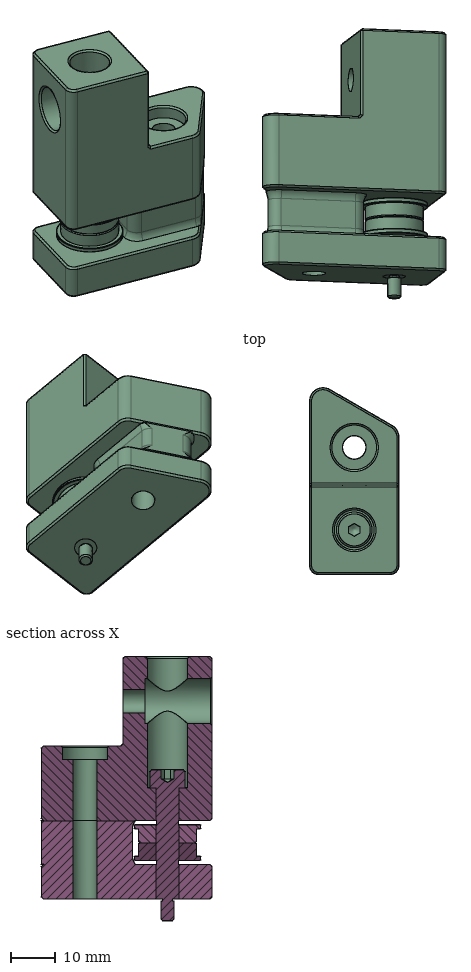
import cadquery as cq
import math


width = 20.0
half_width = width / 2
front_y = -half_width
back_y = 31.85
rear_slope = math.radians(30)
front_radius = 2.0
rear_radius = 3.0
edge_chamfer = 0.45

bearing_bore = 5.0
bearing_outer = 13
bearing_width = 4.0
bearing_chamfer = 0.25
bearing_count = 2
bearing_clearance = 0.9
flange_outer = 15.0
flange_thickness = 1.0
flange_chamfer = 0.15

base_top = 7.75
stack_bottom = base_top + bearing_clearance
stack_top = stack_bottom + bearing_count * bearing_width
block_bottom = stack_top + bearing_clearance
step_top = block_bottom + 16.75
tower_top = step_top + width
tower_back_y = front_y + width

pillar_width = 11.0
pillar_front_y = 7.8
pillar_radius = 2.4
flare_radius = 2.8
flare_height = 1.85

bolt_hole = 5.2
bolt_counterbore = 10.0
bolt_y = front_y + 28.5
bolt_head_depth = 3.0
cross_bolt_z = tower_top - half_width
cross_bolt_seat = 5.0
screw_counterbore = 8.95
hole_chamfer = 0.4

shoulder_length = 25.0
head_outer = 8.0
head_height = 4.0
head_chamfer = 0.4
thread_outer = 3.0
thread_end_z = -4.85
neck_outer = 2.3
neck_length = 0.4
socket_across_flats = 2.5
socket_depth = 2.0
socket_point_angle = math.radians(120)

margin = 0.6
tolerance = 0.05


def rear_wall_y(x):
    """Y of the slanted rear wall at the given X."""
    tip_corner_angle = math.pi / 2 - rear_slope
    sharp_tip_y = back_y + rear_radius * (1 / math.tan(tip_corner_angle / 2) - 1)
    return sharp_tip_y - (x + half_width) * math.tan(rear_slope)


def slant_prism(half_x, near_y, near_radius, far_radius, bottom, top):
    """Upright prism with a slanted rear wall and rounded vertical edges."""
    prism = (
        cq.Workplane("XY", origin=(0, 0, bottom))
        .moveTo(-half_x, near_y)
        .lineTo(half_x, near_y)
        .lineTo(half_x, rear_wall_y(half_x))
        .lineTo(-half_x, rear_wall_y(-half_x))
        .close()
        .extrude(top - bottom)
    )
    prism = prism.faces("<Y").edges("|Z").fillet(near_radius)
    rear_wall_direction = cq.Vector(math.sin(rear_slope), math.cos(rear_slope), 0)
    rear_wall = cq.selectors.DirectionMinMaxSelector(rear_wall_direction)
    return prism.faces(rear_wall).edges("|Z").fillet(far_radius)


def housing_prism(bottom, top):
    """Full housing outline between two heights."""
    return slant_prism(half_width, front_y, front_radius, rear_radius, bottom, top)


def upright_bore(diameter, bottom, top, y=0):
    """Cutter for a plain vertical hole."""
    return cq.Workplane("XY", origin=(0, y, bottom)).circle(diameter / 2).extrude(top - bottom)


def counterbore(mouth, diameter, depth):
    """Cutter for a blind bore with a chamfered mouth on the given outward-facing plane."""
    radius = diameter / 2
    bore = cq.Workplane(mouth).circle(radius).extrude(-depth)
    rim = cq.Workplane(mouth).circle(radius + hole_chamfer).extrude(-hole_chamfer, taper=45)
    return bore.union(rim)


def make_pillar():
    """Pillar that flares at both ends along arcs which stop short of a full quarter round."""
    sunk = flare_radius - flare_height
    low = base_top - sunk
    high = block_bottom + sunk
    pillar = slant_prism(pillar_width / 2, pillar_front_y, pillar_radius, pillar_radius, low, high)
    for outer_z, inner_z in ((low - margin, low), (high + margin, high)):
        plate_center = (0, 0, (outer_z + inner_z) / 2)
        plate = cq.Workplane("XY", origin=plate_center).box(4 * width, 4 * back_y, margin)
        pillar = pillar.union(plate)
        joint = cq.selectors.BoxSelector(
            (-width, 0, inner_z - tolerance),
            (width, 1.5 * back_y, inner_z + tolerance),
            boundingbox=True,
        )
        pillar = pillar.edges(joint).fillet(flare_radius)
    return pillar.intersect(housing_prism(base_top, block_bottom))


def make_base():
    base = housing_prism(0, base_top).edges("<Z or >Z").chamfer(edge_chamfer)
    base = base.union(make_pillar())
    base = base.cut(upright_bore(bearing_bore, 0, base_top))
    return base.cut(upright_bore(bolt_hole, 0, block_bottom, bolt_y))


def make_stepped_block():
    """L-shaped block whose rims, and the inner corner of the step, are chamfered."""
    step_space = (
        cq.Workplane("YZ", origin=(-width, 0, 0))
        .moveTo(tower_back_y, tower_top + margin)
        .lineTo(tower_back_y, step_top + edge_chamfer)
        .lineTo(tower_back_y + edge_chamfer, step_top)
        .lineTo(back_y + margin, step_top)
        .lineTo(back_y + margin, tower_top + margin)
        .close()
        .extrude(2 * width)
    )
    block = housing_prism(block_bottom, tower_top).cut(step_space)

    step_edges = cq.selectors.BoxSelector(
        (-width, tower_back_y - tolerance, step_top - tolerance),
        (width, back_y + margin, tower_top + margin),
    )
    inner_corner_edges = cq.selectors.BoxSelector(
        (-margin, tower_back_y - tolerance, step_top - tolerance),
        (margin, tower_back_y + edge_chamfer + tolerance, step_top + edge_chamfer + tolerance),
    )
    end_edges = cq.selectors.StringSyntaxSelector("<Z or >Z")
    rims = (step_edges - inner_corner_edges) + end_edges
    return block.edges(rims).chamfer(edge_chamfer)


def make_block():
    block = make_stepped_block()

    tower_mouth = cq.Plane((0, 0, tower_top))
    block = block.cut(upright_bore(bearing_bore, block_bottom, shoulder_length))
    block = block.cut(counterbore(tower_mouth, screw_counterbore, tower_top - shoulder_length))

    step_mouth = cq.Plane((0, bolt_y, step_top))
    block = block.cut(upright_bore(bolt_hole, block_bottom, step_top, bolt_y))
    block = block.cut(counterbore(step_mouth, bolt_counterbore, bolt_head_depth))

    front_mouth = cq.Plane((0, front_y, cross_bolt_z), xDir=(1, 0, 0), normal=(0, -1, 0))
    block = block.cut(cq.Workplane(front_mouth).circle(bolt_hole / 2).extrude(-width))
    return block.cut(counterbore(front_mouth, bolt_counterbore, width - cross_bolt_seat))


def turned(profile):
    """Solid of revolution about Z from (radius, height) points."""
    return cq.Workplane("XZ").polyline(profile).close().revolve(360, (0, 0, 0), (0, 1, 0))


def make_bearing(flange_face_z, direction):
    """Bearing whose flange face is at the given Z; its body lies up (+1) or down (-1) from there."""
    bore_radius = bearing_bore / 2
    body_radius = bearing_outer / 2
    flange_radius = flange_outer / 2
    profile = [
        (bore_radius, 0),
        (flange_radius - flange_chamfer, 0),
        (flange_radius, flange_chamfer),
        (flange_radius, flange_thickness - flange_chamfer),
        (flange_radius - flange_chamfer, flange_thickness),
        (body_radius, flange_thickness),
        (body_radius, bearing_width - bearing_chamfer),
        (body_radius - bearing_chamfer, bearing_width),
        (bore_radius, bearing_width),
    ]
    return turned([(radius, flange_face_z + direction * height) for radius, height in profile])


def make_screw():
    shoulder_radius = bearing_bore / 2
    head_radius = head_outer / 2
    head_top = shoulder_length + head_height
    thread_radius = thread_outer / 2
    neck_radius = neck_outer / 2
    screw = turned([
        (0, thread_end_z),
        (neck_radius, thread_end_z),
        (thread_radius, thread_end_z + thread_radius - neck_radius),
        (thread_radius, -neck_length),
        (neck_radius, -neck_length),
        (neck_radius, 0),
        (shoulder_radius, 0),
        (shoulder_radius, shoulder_length),
        (head_radius, shoulder_length),
        (head_radius, head_top - head_chamfer),
        (head_radius - head_chamfer, head_top),
        (0, head_top),
    ])

    corner_radius = socket_across_flats / 2 / math.cos(math.pi / 6)
    socket_floor = head_top - socket_depth
    socket = (
        cq.Workplane("XY", origin=(0, 0, socket_floor))
        .transformed(rotate=(0, 0, 30))
        .polygon(6, 2 * corner_radius)
        .extrude(socket_depth)
    )
    point_depth = corner_radius / math.tan(socket_point_angle / 2)
    point = turned([(0, socket_floor - point_depth), (corner_radius, socket_floor), (0, socket_floor)])
    hexagon_below = socket.translate((0, 0, -socket_depth))
    return screw.cut(socket).cut(point.intersect(hexagon_below))


base = make_base()
block = make_block()
bearings = [make_bearing(z, direction) for z, direction in ((stack_bottom, 1), (stack_top, -1))]
screw = make_screw()

result = cq.Compound.makeCompound([
    base.val(),
    block.val(),
    *[bearing.val() for bearing in bearings],
    screw.val(),
])